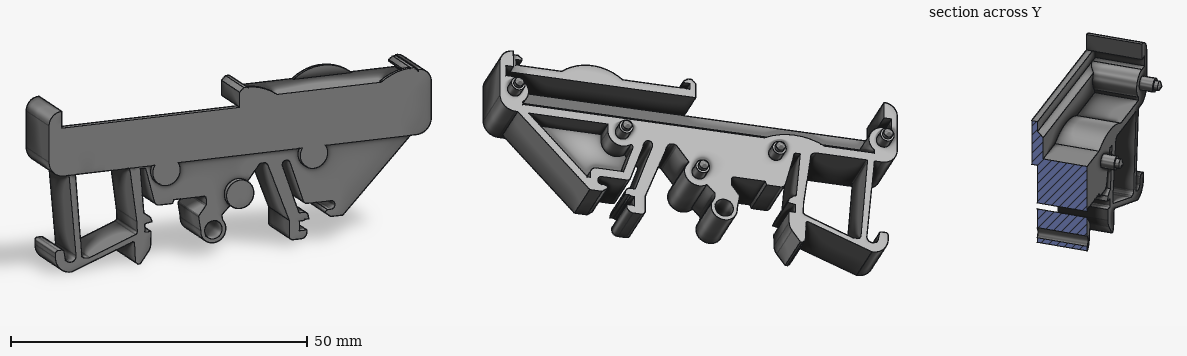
import cadquery as cq
import math


body_width = 10.0
foot_width = 9.0
board_edge_x = 8.9
channel_back_x = 7.9
bracket_pocket_depth = 4.0
tray_front_x = 2.05
tray_rim_thickness = 0.65

body_bottom = 17.35
floor_thickness = 1.5
channel_floor = body_bottom + floor_thickness
groove_bottom = 23.9
groove_height = 1.9
groove_top = groove_bottom + groove_height
slope_bottom = groove_bottom - (board_edge_x - channel_back_x)
wall_top = 28.75
tray_floor = groove_top + floor_thickness
tray_top = 29.19

half_length = 35.0
end_wall_thickness = 2.35
end_wall_inner = half_length - end_wall_thickness
groove_end = 34.0
bottom_corner_radius = 2.7
wall_crown_radius = 2.3
boss_radius = 2.5

end_pin_y = half_length - boss_radius
end_pin_z = groove_bottom - boss_radius
end_pins = [(end_pin_y, end_pin_z), (-end_pin_y, end_pin_z)]
end_boss_foot_y = 31.0
web_pin_y = 13.5
web_pin_z = 16.05
web_pins = [(web_pin_y, web_pin_z), (-web_pin_y, web_pin_z)]
low_pin = (0.0, 10.5)
pin_radius = 1.2
pin_length = 2.4
pin_tip_radius = 0.82
pin_neck_length = 0.75
pin_total_length = 3.64

swell_y = -16.9
swell_half_length = 5.35
swell_height = 1.3

tray_end_y = -0.1
tray_start_y = end_wall_inner
lip_thickness = 1.05
lip_overhang = 1.1
lip_underside = 28.35
lip_chamfer = 0.75
lip_nose_slope = 0.75
lip_nose_drop = 0.55
rim_arch_y = 18.15
rim_arch_half_length = swell_half_length
corner_rim_length = 6.85
corner_rim_start = 1.6
corner_rim_mid_length = 4.3
corner_rim_mid_z = 28.65

slot_top = 15.25
slot_half_width = 0.74
bracket_root_y = 31.9
bracket_foot_z = 7.2
hook_tongue_z = 5.7
hook_gap_radius = (bracket_foot_z - hook_tongue_z) / 2 - 0.05
prong_tip_z = 1.1
prong_back_y = 9.4
web_step_z = 10.6
web_bottom = 9.95
clip_slot_top = 16.75
clip_hook_top = 4.05
clip_hook_outer_y = -33.4
root_end_y = 31.4

eyelet_center = (-4.5, 4.5)
eyelet_radius = 2.3
eyelet_hole_radius = 1.6


def outline(corners):
    """Closed wire in the Y-Z plane; a corner (y, z, r) is rounded with radius r."""
    count = len(corners)
    wire = None
    for i in range(count):
        y, z = corners[i][:2]
        radius = corners[i][2] if len(corners[i]) == 3 else 0
        if radius == 0:
            stops = [(y, z)]
        else:
            before = corners[i - 1]
            after = corners[(i + 1) % count]
            back = cq.Vector(before[0] - y, before[1] - z).normalized()
            ahead = cq.Vector(after[0] - y, after[1] - z).normalized()
            half_angle = back.getAngle(ahead) / 2
            setback = radius / math.tan(half_angle)
            bisector = (back + ahead).normalized()
            corner = cq.Vector(y, z)
            middle = corner + bisector * (radius / math.sin(half_angle) - radius)
            stops = [(p.x, p.y) for p in (corner + back * setback, middle, corner + ahead * setback)]
        if wire is None:
            wire = cq.Workplane("YZ").moveTo(*stops[0])
        else:
            wire = wire.lineTo(*stops[0])
        if radius:
            wire = wire.threePointArc(stops[1], stops[2])
    return wire.close()


def prism(wire, x_start, x_end):
    return wire.extrude(x_end - x_start).translate((x_start, 0, 0))


def box(x_range, y_range, z_range):
    sizes = [high - low for low, high in (x_range, y_range, z_range)]
    return cq.Workplane("XY").box(*sizes, centered=False).translate((x_range[0], y_range[0], z_range[0]))


def cylinder(center, radius, x_start, x_end):
    return prism(cq.Workplane("YZ").center(*center).circle(radius), x_start, x_end)


def arch(start, middle, end):
    return cq.Workplane("YZ").moveTo(*start).threePointArc(middle, end).close()


def housing():
    shell = prism(outline([
        (half_length, body_bottom, bottom_corner_radius),
        (half_length, wall_top, wall_crown_radius),
        (end_wall_inner, wall_top),
        (end_wall_inner, groove_top),
        (-end_wall_inner, groove_top),
        (-end_wall_inner, wall_top),
        (-half_length, wall_top, wall_crown_radius),
        (-half_length, body_bottom, bottom_corner_radius),
    ]), 0, body_width)
    channel = (
        cq.Workplane("XZ")
        .polyline([
            (0, channel_floor),
            (channel_back_x, channel_floor),
            (channel_back_x, slope_bottom),
            (board_edge_x, groove_bottom),
            (board_edge_x, groove_top),
            (0, groove_top),
        ])
        .close()
        .extrude(end_wall_inner, both=True)
    )
    shell = shell.cut(channel)
    for center in end_pins:
        shell = shell.union(cylinder(center, boss_radius, 0, body_width))
    for y_range in ((end_boss_foot_y, end_wall_inner), (-end_wall_inner, -end_boss_foot_y)):
        shell = shell.union(box((0, body_width), y_range, (channel_floor, end_pin_z)))
    groove = box((0, board_edge_x), (-groove_end, groove_end), (groove_bottom, groove_top))
    return shell.cut(groove)


def channel_swell():
    start = (swell_y - swell_half_length, channel_floor)
    middle = (swell_y, channel_floor + swell_height)
    end = (swell_y + swell_half_length, channel_floor)
    return prism(arch(start, middle, end), 0, channel_back_x)


def tray():
    def lip(outer_y, inward):
        face_y = outer_y + inward * lip_thickness
        nose_y = face_y + inward * lip_overhang
        return prism(outline([
            (outer_y, groove_top),
            (outer_y, tray_top - lip_chamfer),
            (outer_y + inward * lip_chamfer, tray_top),
            (nose_y - inward * lip_nose_slope, tray_top),
            (nose_y, tray_top - lip_nose_drop),
            (nose_y, lip_underside),
            (face_y, lip_underside),
            (face_y, groove_top),
        ]), tray_front_x, body_width)

    def corner_rim(outer_y, inward):
        top_y = outer_y + inward * corner_rim_start
        rim = (
            cq.Workplane("YZ")
            .moveTo(top_y, tray_floor)
            .lineTo(top_y, tray_top)
            .threePointArc(
                (outer_y + inward * corner_rim_mid_length, corner_rim_mid_z),
                (outer_y + inward * corner_rim_length, tray_floor),
            )
            .close()
        )
        base = box(
            (body_width - tray_rim_thickness, body_width),
            sorted((outer_y, top_y)),
            (tray_floor, tray_top - lip_chamfer),
        )
        return prism(rim, body_width - tray_rim_thickness, body_width).union(base)

    shape = box((tray_front_x, body_width), (tray_end_y, tray_start_y), (groove_top, tray_floor))
    for outer_y, inward in ((tray_start_y, -1), (tray_end_y, 1)):
        shape = shape.union(lip(outer_y, inward)).union(corner_rim(outer_y, inward))
    rim_arch = arch(
        (rim_arch_y - rim_arch_half_length, tray_floor),
        (rim_arch_y, tray_top),
        (rim_arch_y + rim_arch_half_length, tray_floor),
    )
    return shape.union(prism(rim_arch, tray_front_x, tray_front_x + tray_rim_thickness))



def bracket_run():
    return [
        (bracket_root_y, body_bottom), (19.2, 4.4), (17.0, 4.4), (15.9, 5.25, 0.2), (16.4, hook_tongue_z),
        (17.75, hook_tongue_z, hook_gap_radius), (17.75, bracket_foot_z, hook_gap_radius),
        (12.15, bracket_foot_z, 0.7),
    ]


def prong_run():
    return [
        (9.38, slot_top, slot_half_width), (7.8, slot_top, slot_half_width),
        (11.2, hook_tongue_z, 0.3), (12.75, hook_tongue_z, 0.7), (13.0, 4.45), (12.3, 4.45), (12.0, 4.25),
        (11.3, 4.25), (11.3, 2.55), (12.65, 2.55), (12.65, prong_tip_z, 1.1),
        (prong_back_y, prong_tip_z, 0.7), (prong_back_y, 4.6),
    ]


def web_run():
    return [
        (5.3, slot_top, 0.8), (4.05, slot_top, 0.6), (1.75, 12.3), low_pin, (-1.4, 8.45),
        (-2.95, 6.95, 0.5), (-2.75, 5.95), eyelet_center, (-6.7, 4.0), (-7.2, 7.2, 0.3),
        (-5.8, 9.0, 0.4), (-5.8, web_step_z, 0.5), (-11.7, web_step_z),
        (-11.95, web_bottom), (-15.1, web_bottom, 0.9), (-16.9, clip_slot_top, 0.25),
    ]


def clip_run():
    return [
        (-17.9, clip_slot_top), (-17.2, 8.85), (-16.0, 8.0), (-15.7, 7.2), (-17.05, 6.95, 0.15),
        (-17.05, 5.5, 0.2), (-15.9, 5.5), (-15.95, 2.6, 2.5), (-17.9, 0), (-18.3, 0), (-18.75, 0.4),
        (-18.95, 4.15, 0.3), (-30.5, 0), (clip_hook_outer_y, 0, 2.8),
        (clip_hook_outer_y, clip_hook_top, 0.5), (-31.9, clip_hook_top, 0.3),
        (-31.5, 1.75, 0.95), (-29.55, 1.75, 0.95), (-30.95, body_bottom, 0.3),
    ]


def feet():
    floor_overlap = [
        (-root_end_y, body_bottom), (-root_end_y, channel_floor), (bracket_root_y, channel_floor),
    ]
    edge = bracket_run() + prong_run() + web_run() + clip_run() + floor_overlap
    shape = prism(outline(edge), 0, foot_width)
    clip_window = outline([
        (-19.85, body_bottom, 1.0), (-29.75, body_bottom, 0.2), (-28.55, 2.15, 0.7),
        (-27.2, 2.15, 0.4), (-18.4, 5.4, 0.5), (-18.5, 7.5),
    ])
    shape = shape.cut(prism(clip_window, 0, foot_width))
    bracket_pocket = outline([
        (29.95, body_bottom), (19.6, 6.75), (19.1, 6.75), (19.1, 8.7, 1.1),
        (13.25, 8.7), (11.4, 14.1, 0.5), (13.0, 14.1), web_pins[0],
        (web_pin_y + boss_radius, web_pin_z), (web_pin_y + boss_radius, body_bottom),
    ])
    shape = shape.cut(prism(bracket_pocket, 0, bracket_pocket_depth))
    for center in web_pins + [low_pin]:
        shape = shape.union(cylinder(center, boss_radius, 0, body_width))
    shape = shape.union(cylinder(eyelet_center, eyelet_radius, 0, foot_width))
    return shape.cut(cylinder(eyelet_center, eyelet_hole_radius, 0, foot_width))


def pin(center):
    neck_end = pin_length + pin_neck_length
    profile = (
        cq.Workplane("XY")
        .polyline([
            (0, 0), (0, pin_radius), (-pin_length, pin_radius), (-pin_length, pin_tip_radius),
            (-neck_end, pin_tip_radius), (-pin_total_length, 0),
        ])
        .close()
    )
    return profile.revolve(360, (0, 0, 0), (1, 0, 0)).translate((0, *center))


result = housing().union(channel_swell()).union(tray()).union(feet())
for pin_center in end_pins + web_pins + [low_pin]:
    result = result.union(pin(pin_center))